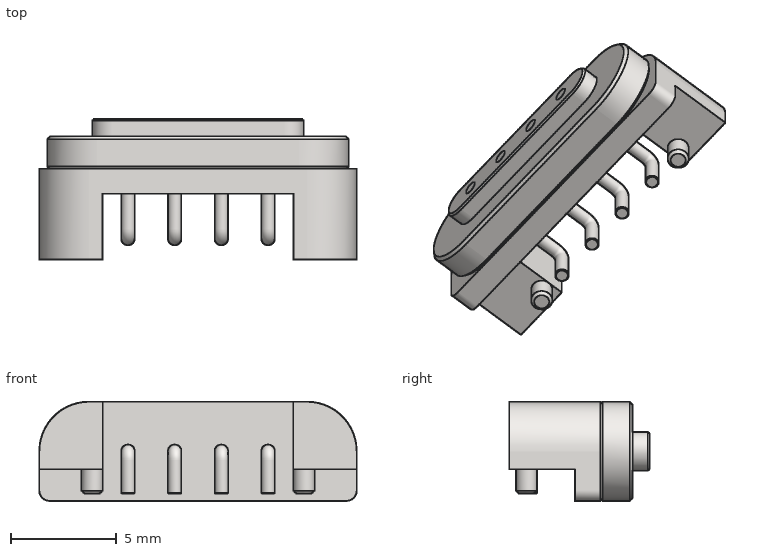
import cadquery as cq


HOUSING_WIDTH = 15.0
HOUSING_HEIGHT = 4.7
HOUSING_DEPTH = 4.3
TOP_RADIUS = HOUSING_HEIGHT / 2
BOTTOM_RADIUS = 0.5
WEB_DEPTH = 1.2
LEG_WIDTH = 3.0
LEG_CLEARANCE = 1.5
HOUSING_BOTTOM = -HOUSING_HEIGHT / 2
HOUSING_BACK = -HOUSING_DEPTH
LEG_BOTTOM = HOUSING_BOTTOM + LEG_CLEARANCE
LEG_GAP = HOUSING_WIDTH - 2 * LEG_WIDTH
LEG_LENGTH = HOUSING_DEPTH - WEB_DEPTH

STANDOFF = 0.35
PIN_BOTTOM = HOUSING_BOTTOM + STANDOFF

PEG_DIAMETER = 1.0
PEG_CHAMFER = 0.15
PEG_BACK_MARGIN = 0.32
PEG_X = (LEG_GAP + PEG_DIAMETER) / 2
PEG_Y = HOUSING_BACK + PEG_BACK_MARGIN + PEG_DIAMETER / 2

RING_WIDTH = 14.25
RING_HEIGHT = HOUSING_HEIGHT
RING_DEPTH = 1.53
RING_FRONT_CHAMFER = 0.15
RING_BACK_CHAMFER = 0.1

NOSE_WIDTH = 10.0
NOSE_HEIGHT = 1.85
NOSE_PROTRUSION = 0.81
NOSE_CHAMFER = 0.09
NOSE_LENGTH = RING_DEPTH + NOSE_PROTRUSION

CONTACT_COUNT = 4
CONTACT_PITCH = 2.2
CONTACT_DIAMETER = 0.65
BEND_OUTER_DIAMETER = 1.48
BEND_RADIUS = (BEND_OUTER_DIAMETER - CONTACT_DIAMETER) / 2
CONTACT_TIP_CHAMFER = 0.05
CONTACT_BACK_MARGIN = 0.68
CONTACT_TAIL_Y = HOUSING_BACK + CONTACT_BACK_MARGIN + CONTACT_DIAMETER / 2
CONTACT_XS = [(i - (CONTACT_COUNT - 1) / 2) * CONTACT_PITCH for i in range(CONTACT_COUNT)]


def stadium_bar(width, height, length):
    """Bar with a stadium section that runs from Y = 0 toward +Y."""
    return cq.Workplane("XZ").slot2D(width, height).extrude(-length)


def make_contact(x):
    """Round wire that runs back from the nose tip, bends down and ends in a chamfered tail."""
    path = (
        cq.Workplane("YZ", origin=(x, 0, 0))
        .moveTo(NOSE_LENGTH, 0)
        .lineTo(CONTACT_TAIL_Y + BEND_RADIUS, 0)
        .radiusArc((CONTACT_TAIL_Y, -BEND_RADIUS), -BEND_RADIUS)
        .lineTo(CONTACT_TAIL_Y, PIN_BOTTOM)
    )
    wire = cq.Workplane("XZ", origin=(x, NOSE_LENGTH, 0)).circle(CONTACT_DIAMETER / 2).sweep(path)
    return wire.faces("<Z").chamfer(CONTACT_TIP_CHAMFER)


def make_ring():
    """Stadium ring with chamfered outer edges and a bore that fits the nose."""
    ring = stadium_bar(RING_WIDTH, RING_HEIGHT, RING_DEPTH)
    ring = ring.faces(">Y").chamfer(RING_FRONT_CHAMFER)
    ring = ring.faces("<Y").chamfer(RING_BACK_CHAMFER)
    return ring.cut(stadium_bar(NOSE_WIDTH, NOSE_HEIGHT, RING_DEPTH))


def make_peg(x):
    """Peg from the leg underside down to a chamfered end."""
    peg = (
        cq.Workplane("XY", origin=(x, PEG_Y, PIN_BOTTOM))
        .circle(PEG_DIAMETER / 2)
        .extrude(LEG_BOTTOM - PIN_BOTTOM)
    )
    return peg.faces("<Z").chamfer(PEG_CHAMFER)


def make_housing():
    """Web with two raised legs behind it, pegs under the legs and a nose in front."""
    body = cq.Workplane("XY").box(HOUSING_WIDTH, HOUSING_DEPTH, HOUSING_HEIGHT)
    body = body.translate((0, -HOUSING_DEPTH / 2, 0))
    body = body.edges("|Y and <Z").fillet(BOTTOM_RADIUS)
    body = body.edges("|Y and >Z").fillet(TOP_RADIUS)

    leg_center_y = HOUSING_BACK + LEG_LENGTH / 2
    body = body.cut(
        cq.Workplane("XY").box(LEG_GAP, LEG_LENGTH, HOUSING_HEIGHT).translate((0, leg_center_y, 0))
    )

    clearance_z = HOUSING_BOTTOM + LEG_CLEARANCE / 2
    body = body.cut(
        cq.Workplane("XY")
        .box(HOUSING_WIDTH, LEG_LENGTH, LEG_CLEARANCE)
        .translate((0, leg_center_y, clearance_z))
    )

    for side in (-1, 1):
        body = body.union(make_peg(side * PEG_X))

    nose = stadium_bar(NOSE_WIDTH, NOSE_HEIGHT, NOSE_LENGTH)
    return body.union(nose.faces(">Y").chamfer(NOSE_CHAMFER))


contacts = [make_contact(x) for x in CONTACT_XS]
ring = make_ring()
housing = make_housing()

for contact in contacts:
    housing = housing.cut(contact)

body_solids = [housing.solids().val(), ring.solids().val()]
body_solids += [contact.solids().val() for contact in contacts]
result = cq.Compound.makeCompound(body_solids)